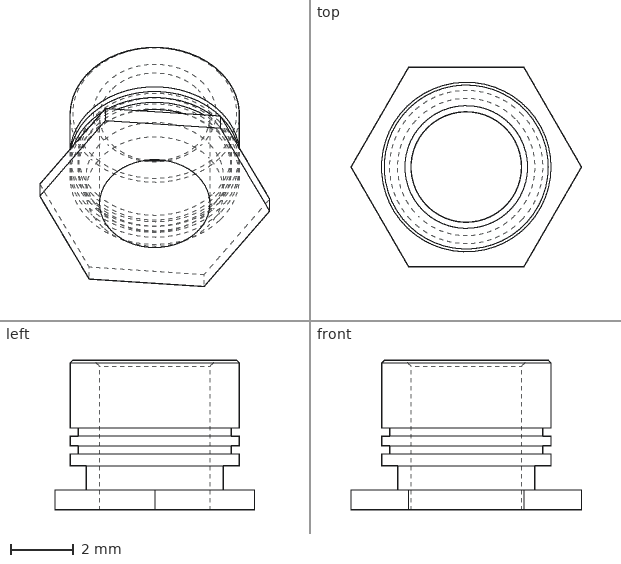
import cadquery as cq

hex_across_corners = 7.33
flange_top = 0.64

body_diameter = 5.39
groove_diameter = 4.875
neck_diameter = 4.37
total_height = 4.76
rim_chamfer = 0.09

neck_top = 1.4
lower_groove = (1.78, 2.03)
upper_groove = (2.345, 2.595)

bore_diameter = 3.505
bore_entry_chamfer = 0.2


def cylinder(diameter, bottom, top):
    """Vertical cylinder on the Z axis between two heights."""
    return cq.Workplane("XY").workplane(offset=bottom).circle(diameter / 2).extrude(top - bottom)


flange = cq.Workplane("XY").polygon(6, hex_across_corners).extrude(flange_top)
neck = cylinder(neck_diameter, 0, neck_top)
body = cylinder(body_diameter, neck_top, total_height).faces(">Z").chamfer(rim_chamfer)

for bottom, top in (lower_groove, upper_groove):
    groove_ring = cylinder(body_diameter, bottom, top).cut(cylinder(groove_diameter, bottom, top))
    body = body.cut(groove_ring)

bore = cylinder(bore_diameter, 0, total_height)
result = flange.union(neck).union(body).cut(bore)

bore_top_edge = cq.selectors.RadiusNthSelector(0)
result = result.faces(">Z").edges(bore_top_edge).chamfer(bore_entry_chamfer)